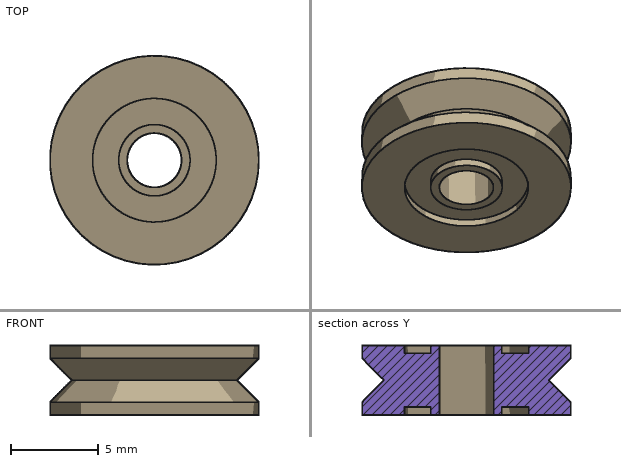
import cadquery as cq

wheel_diameter = 12.0
wheel_width = 4.0
rim_width = 0.75
bore_diameter = 3.1
hub_diameter = 4.1
recess_diameter = 7.1
recess_depth = 0.45

wheel_radius = wheel_diameter / 2
half_width = wheel_width / 2
groove_half_width = half_width - rim_width
groove_depth = groove_half_width
groove_root_radius = wheel_radius - groove_depth


def grooved_wheel():
    """Solid disc with a V groove around its circumference."""
    return (
        cq.Workplane("XZ")
        .moveTo(0, -half_width)
        .lineTo(wheel_radius, -half_width)
        .lineTo(wheel_radius, -groove_half_width)
        .lineTo(groove_root_radius, 0)
        .lineTo(wheel_radius, groove_half_width)
        .lineTo(wheel_radius, half_width)
        .lineTo(0, half_width)
        .close()
        .revolve(360, (0, 0, 0), (0, 1, 0))
    )


def face_recess(floor_z):
    """Ring-shaped cutter for the recess between the hub and the rim face."""
    return (
        cq.Workplane("XY", origin=(0, 0, floor_z))
        .circle(recess_diameter / 2)
        .circle(hub_diameter / 2)
        .extrude(recess_depth)
    )


def bore():
    """Cutter for the axle hole through the full width."""
    return (
        cq.Workplane("XY", origin=(0, 0, -half_width))
        .circle(bore_diameter / 2)
        .extrude(wheel_width)
    )


result = grooved_wheel().cut(bore())
for recess_start in (half_width - recess_depth, -half_width):
    result = result.cut(face_recess(recess_start))